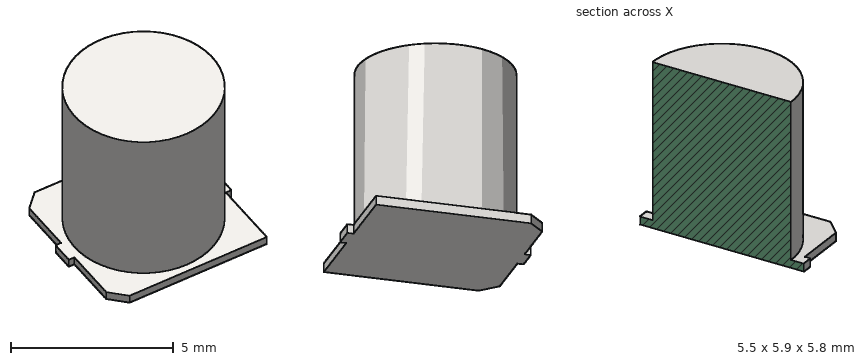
import cadquery as cq

base_side = 5.5
base_thickness = 0.295
corner_chamfer = 0.52
tab_width = 0.765
length_over_tabs = 5.9

total_height = 5.8
can_diameter = 5.0
can_height = total_height - base_thickness

plate = cq.Workplane("XY").box(base_side, base_side, base_thickness, centered=(True, True, False))
plate = plate.edges("|Z and <Y").chamfer(corner_chamfer)

tabs = cq.Workplane("XY").box(
    tab_width, length_over_tabs, base_thickness, centered=(True, True, False)
)

can = (
    cq.Workplane("XY")
    .workplane(offset=base_thickness)
    .circle(can_diameter / 2)
    .extrude(can_height)
)

result = plate.union(tabs).union(can)